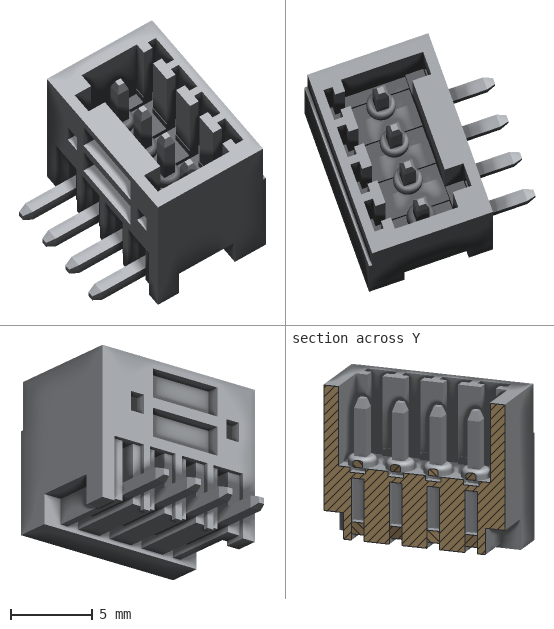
import cadquery as cq


WIDTH = 12.0
DEPTH = 8.1
HEIGHT = 10.1
REAR_STEP_DEPTH = 0.2
REAR_STEP_Z = 6.9

PITCH = 2.5
PIN_COUNT = 4
PIN_SIZE = 0.8
PIN_Y = 3.9
PIN_TOP = 9.28
LEG_Z = 1.1
LEG_REACH = 3.5
TIP_LENGTH = 0.6
TIP_SIZE = 0.41
COLLAR_DIAMETER = 1.8
COLLAR_ROUND = 0.3
COLLAR_HEIGHT = 0.6

CAVITY_WIDTH = 10.01
CAVITY_FRONT = 1.92
CAVITY_REAR = 6.06
WELL_SHIFT = 0.05
WELL_TOP = 5.5
FLOOR_Z = 5.0

KEYWAY_FLOOR = 4.68
KEYWAY_STEM_WIDTH = 1.0
KEYWAY_BAR_WIDTH = 2.0
KEYWAY_BAR_FRONT = 6.71
KEYWAY_BAR_REAR = 7.3

LATCH_OFFSET = KEYWAY_BAR_WIDTH / 4
POCKET_WIDTH = 1.5
POCKET_FRONT = 0.7
WINDOW_WIDTH = KEYWAY_BAR_WIDTH / 2
WINDOW_BOTTOM = 6.31
WINDOW_TOP = 7.6

PANEL_WIDTH = 5.09
PANEL_HEIGHT = 1.92
PANEL_DEPTH = 0.88
PANEL_BOTTOMS = (4.99, WINDOW_TOP)

SLOT_TOP = 4.3
SLOT_DEPTH = 0.35
SLOT_WIDTH = KEYWAY_BAR_WIDTH
END_SLOT_EXTRA = 0.3
BELLY_Z = 0.3
NOTCH_FRONT = 1.58
NOTCH_REAR = 5.77
NOTCH_TOP = 2.0
NOTCH_DEPTH = 1.3

PIN_XS = [(i - (PIN_COUNT - 1) / 2) * PITCH for i in range(PIN_COUNT)]
END_PIN_XS = (PIN_XS[0], PIN_XS[-1])
BELLY_HALF_WIDTH = PIN_XS[-1] + SLOT_WIDTH / 2 + END_SLOT_EXTRA
WELL_FRONT = CAVITY_FRONT - WELL_SHIFT
WELL_REAR = CAVITY_REAR - WELL_SHIFT


def block(x0, x1, y0, y1, z0, z1):
    """Box given by its limits along each axis."""
    return cq.Workplane("XY").box(x1 - x0, y1 - y0, z1 - z0, centered=False).translate((x0, y0, z0))


def centred_block(x, width, y0, y1, z0, z1):
    """Box centred on x, given by its limits along Y and Z."""
    return block(x - width / 2, x + width / 2, y0, y1, z0, z1)


def housing_shell():
    """Outer block, set back at the upper rear."""
    shell = centred_block(0, WIDTH, 0, DEPTH, 0, HEIGHT)
    return shell.cut(centred_block(0, WIDTH, DEPTH - REAR_STEP_DEPTH, DEPTH, REAR_STEP_Z, HEIGHT))


def cavity():
    """Open-topped mating cavity and the well in its bottom."""
    upper = centred_block(0, CAVITY_WIDTH, CAVITY_FRONT, CAVITY_REAR, WELL_TOP, HEIGHT)
    well = centred_block(0, CAVITY_WIDTH, WELL_FRONT, WELL_REAR, FLOOR_Z, WELL_TOP)
    return upper.union(well)


def keyway(x):
    """T-shaped keyway whose stem continues as a groove across the well floor."""
    groove = centred_block(x, KEYWAY_STEM_WIDTH, WELL_FRONT, WELL_REAR, KEYWAY_FLOOR, FLOOR_Z)
    stem = centred_block(x, KEYWAY_STEM_WIDTH, WELL_REAR, KEYWAY_BAR_FRONT, KEYWAY_FLOOR, HEIGHT)
    bar = centred_block(x, KEYWAY_BAR_WIDTH, KEYWAY_BAR_FRONT, KEYWAY_BAR_REAR, KEYWAY_FLOOR, HEIGHT)
    return groove.union(stem).union(bar)


def latch_recess(pin_x):
    """Pocket behind the front wall with a window through the wall."""
    x = pin_x + LATCH_OFFSET
    pocket = centred_block(x, POCKET_WIDTH, POCKET_FRONT, CAVITY_FRONT, WELL_TOP, HEIGHT)
    window = centred_block(x, WINDOW_WIDTH, 0, POCKET_FRONT, WINDOW_BOTTOM, WINDOW_TOP)
    return pocket.union(window)


def panel(bottom):
    """Shallow rectangular recess in the front face."""
    return centred_block(LATCH_OFFSET, PANEL_WIDTH, 0, PANEL_DEPTH, bottom, bottom + PANEL_HEIGHT)


def leg_slot(x):
    """Slot in the front face around a pin leg; the end slots are wider on their outer side."""
    left = x - SLOT_WIDTH / 2
    right = x + SLOT_WIDTH / 2
    if x == PIN_XS[0]:
        left -= END_SLOT_EXTRA
    if x == PIN_XS[-1]:
        right += END_SLOT_EXTRA
    return block(left, right, 0, SLOT_DEPTH, 0, SLOT_TOP)


def pin_passage(x):
    """Groove that takes the pin leg, and the square hole above it that takes the upright."""
    half = PIN_SIZE / 2
    groove = centred_block(x, PIN_SIZE, SLOT_DEPTH, NOTCH_REAR, 0, SLOT_TOP)
    hole = centred_block(x, PIN_SIZE, PIN_Y - half, PIN_Y + half, SLOT_TOP, KEYWAY_FLOOR)
    return groove.union(hole)


def side_notch(side):
    """Notch between the front and rear feet; side is -1 or +1."""
    x = side * (WIDTH - NOTCH_DEPTH) / 2
    return centred_block(x, NOTCH_DEPTH, NOTCH_FRONT, NOTCH_REAR, 0, NOTCH_TOP)


def make_housing():
    body = housing_shell().cut(cavity())
    for x in PIN_XS:
        body = body.cut(keyway(x)).cut(leg_slot(x)).cut(pin_passage(x))
    for x in END_PIN_XS:
        body = body.cut(latch_recess(x))
    for bottom in PANEL_BOTTOMS:
        body = body.cut(panel(bottom))
    for side in (-1, 1):
        body = body.cut(side_notch(side))
    belly = centred_block(0, 2 * BELLY_HALF_WIDTH, SLOT_DEPTH, NOTCH_REAR, 0, BELLY_Z)
    return body.cut(belly)


def pin_bar(length):
    """Square bar rising from the origin to a tapered tip; length includes the tip."""
    shank = cq.Workplane("XY").rect(PIN_SIZE, PIN_SIZE).extrude(length - TIP_LENGTH)
    tip = (
        cq.Workplane("XY", origin=(0, 0, length - TIP_LENGTH))
        .rect(PIN_SIZE, PIN_SIZE)
        .workplane(offset=TIP_LENGTH)
        .rect(TIP_SIZE, TIP_SIZE)
        .loft(combine=True)
    )
    return shank.union(tip)


def make_pin(x):
    """Right-angle pin: an upright with a round collar on the well floor, and a forward leg."""
    leg_bottom = LEG_Z - PIN_SIZE / 2
    upright = pin_bar(PIN_TOP - leg_bottom).translate((0, PIN_Y, leg_bottom))
    leg = pin_bar(PIN_Y + LEG_REACH).rotate((0, 0, 0), (1, 0, 0), 90).translate((0, PIN_Y, LEG_Z))
    collar = (
        cq.Workplane("XY", origin=(0, PIN_Y, FLOOR_Z))
        .circle(COLLAR_DIAMETER / 2)
        .extrude(COLLAR_HEIGHT)
        .faces(">Z")
        .edges()
        .fillet(COLLAR_ROUND)
    )
    return upright.union(leg).union(collar).translate((x, 0, 0))


housing = make_housing()
pins = [make_pin(x) for x in PIN_XS]

result = cq.Compound.makeCompound([housing.val(), *[pin.val() for pin in pins]])